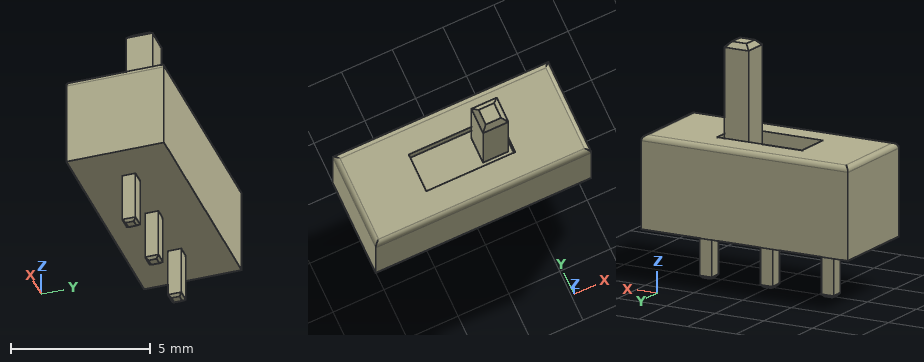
import cadquery as cq

total_height = 9.0
housing_length = 8.5
housing_width = 3.7
housing_height = 3.5
rim_radius = 0.2

slot_length = 3.5
slot_width = 1.5
slot_depth = 0.5
slot_floor = housing_height - slot_depth

pin_length = 2.0
lever_side = 1.0
lever_bevel = 0.2
lever_x = 1.1
lever_top = total_height - pin_length

pin_side = 0.5
pin_bevel = 0.1
pin_pitch = 2.5
pin_count = 3


def make_housing():
    """Box with rounded top edges and a shallow slot in its top face."""
    box = cq.Workplane("XY").box(
        housing_length, housing_width, housing_height, centered=(True, True, False)
    )
    rounded = box.faces(">Z").edges().fillet(rim_radius)
    slot = (
        cq.Workplane("XY", origin=(0, 0, slot_floor))
        .rect(slot_length, slot_width)
        .extrude(slot_depth)
    )
    return rounded.cut(slot)


def make_lever():
    """Square post with a bevelled tip."""
    return (
        cq.Workplane("XY", origin=(lever_x, 0, slot_floor))
        .rect(lever_side, lever_side)
        .extrude(lever_top - slot_floor)
        .faces(">Z")
        .edges()
        .chamfer(lever_bevel)
    )


def make_pin(x):
    """Square pin hanging from the housing underside, bevelled at its lower end."""
    return (
        cq.Workplane("XY", origin=(x, 0, 0))
        .rect(pin_side, pin_side)
        .extrude(-pin_length)
        .faces("<Z")
        .edges()
        .chamfer(pin_bevel)
    )


housing = make_housing()
lever = make_lever()
pins = [make_pin((i - (pin_count - 1) / 2) * pin_pitch) for i in range(pin_count)]

result = cq.Compound.makeCompound([housing.val(), lever.val(), *[pin.val() for pin in pins]])